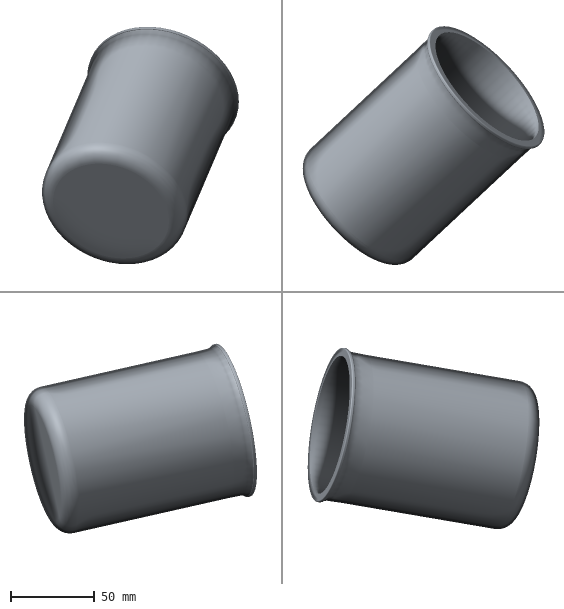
import cadquery as cq
import math

height = 120.0
body_radius = 90.0 / 2
bore_radius = 84.0 / 2
rim_radius = 94.0 / 2

wall = body_radius - bore_radius
base_fillet = 9.0
inner_base_fillet = base_fillet - wall

rim_thickness = 2.2
rim_fillet = 0.7
flare_start = height - 14.0
flare_lip_angle = 32.0


def corner_arc_middle(center_radius, center_y, fillet, outward, upward):
    """Point halfway along a quarter-circle corner about the given center."""
    reach = fillet * math.sqrt(0.5)
    return (center_radius + outward * reach, center_y + upward * reach)


def make_body():
    """Solid of revolution bounded by the outside of the beaker."""
    rim_bottom = height - rim_thickness
    rim_flat_radius = rim_radius - rim_fillet
    lip_angle = math.radians(flare_lip_angle)
    base_flat_radius = body_radius - base_fillet

    profile = (
        cq.Workplane("XY")
        .lineTo(base_flat_radius, 0)
        .threePointArc(
            corner_arc_middle(base_flat_radius, base_fillet, base_fillet, 1, -1),
            (body_radius, base_fillet),
        )
        .lineTo(body_radius, flare_start)
        .spline(
            [(rim_flat_radius, rim_bottom)],
            tangents=[(0, 1), (math.sin(lip_angle), math.cos(lip_angle))],
            includeCurrent=True,
        )
        .threePointArc(
            corner_arc_middle(rim_flat_radius, rim_bottom + rim_fillet, rim_fillet, 1, -1),
            (rim_radius, rim_bottom + rim_fillet),
        )
        .lineTo(rim_radius, height - rim_fillet)
        .threePointArc(
            corner_arc_middle(rim_flat_radius, height - rim_fillet, rim_fillet, 1, 1),
            (rim_flat_radius, height),
        )
        .lineTo(0, height)
        .close()
    )
    return profile.revolve(360, (0, 0, 0), (0, 1, 0))


def make_cavity():
    """Round bore open at the mouth, with a rounded floor one wall above the base."""
    floor_flat_radius = bore_radius - inner_base_fillet
    profile = (
        cq.Workplane("XY")
        .moveTo(0, wall)
        .lineTo(floor_flat_radius, wall)
        .threePointArc(
            corner_arc_middle(floor_flat_radius, wall + inner_base_fillet, inner_base_fillet, 1, -1),
            (bore_radius, wall + inner_base_fillet),
        )
        .lineTo(bore_radius, height)
        .lineTo(0, height)
        .close()
    )
    return profile.revolve(360, (0, 0, 0), (0, 1, 0))


result = make_body().cut(make_cavity())